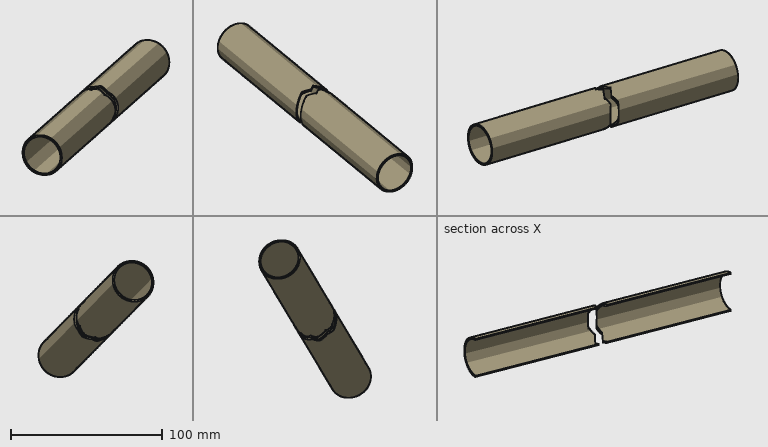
import cadquery as cq

outer_diameter = 28.0
inner_diameter = 25.6
total_length = 200.0

outer_radius = outer_diameter / 2
half_length = total_length / 2

rear_break = [
    (-outer_radius, 4.0),
    (-11.8, 2.3),
    (-8.2, 4.6),
    (-2.1, 1.2),
    (1.8, 4.6),
    (7.5, 1.2),
    (outer_radius, 4.6),
]
front_break = [
    (-outer_radius, -2.8),
    (-11.9, -4.0),
    (-8.2, -1.0),
    (-1.6, -5.0),
    (2.1, -1.5),
    (7.6, -4.5),
    (outer_radius, -1.0),
]


def broken_tube(break_corners, plain_end_y):
    """Tube from the plain end to a zigzag end that is cut straight through along Z."""
    tube = (
        cq.Workplane("XZ", origin=(0, half_length, 0))
        .circle(outer_radius)
        .circle(inner_diameter / 2)
        .extrude(total_length)
    )
    kept_region = (
        cq.Workplane("XY")
        .polyline(break_corners)
        .lineTo(outer_radius, plain_end_y)
        .lineTo(-outer_radius, plain_end_y)
        .close()
        .extrude(outer_radius, both=True)
    )
    return tube.intersect(kept_region)


rear_tube = broken_tube(rear_break, half_length)
front_tube = broken_tube(front_break, -half_length)

result = cq.Compound.makeCompound([rear_tube.val(), front_tube.val()])